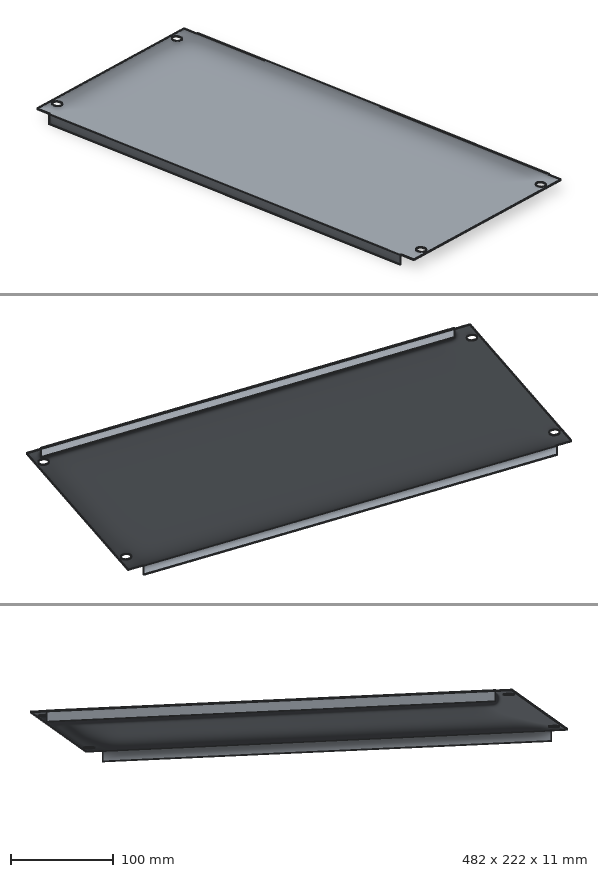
import cadquery as cq

length = 482.0
overall_width = 222.0
overall_height = 11.0
sheet = 1.0

flange_length = 449.0
edge_step = 1.5

slot_spacing_x = 465.5
slot_spacing_y = 178.5
slot_length = 10.5
slot_width = 9.0


def plate():
    """Flat sheet, widened between its ends to meet the flange faces."""
    ends = cq.Workplane("XY").box(length, overall_width - 2 * edge_step, sheet, centered=(True, True, False))
    middle = cq.Workplane("XY").box(flange_length, overall_width, sheet, centered=(True, True, False))
    return ends.union(middle).translate((0, 0, overall_height - sheet))


def flange(side):
    """Downward flange on the +Y (side = 1) or -Y (side = -1) edge."""
    center_y = side * (overall_width - sheet) / 2
    return (
        cq.Workplane("XY")
        .center(0, center_y)
        .box(flange_length, sheet, overall_height, centered=(True, True, False))
    )


def mounting_slots():
    """Four corner slots, long along X."""
    return (
        cq.Workplane("XY")
        .rect(slot_spacing_x, slot_spacing_y, forConstruction=True)
        .vertices()
        .slot2D(slot_length, slot_width)
        .extrude(overall_height)
    )


result = plate().union(flange(1)).union(flange(-1)).cut(mounting_slots())